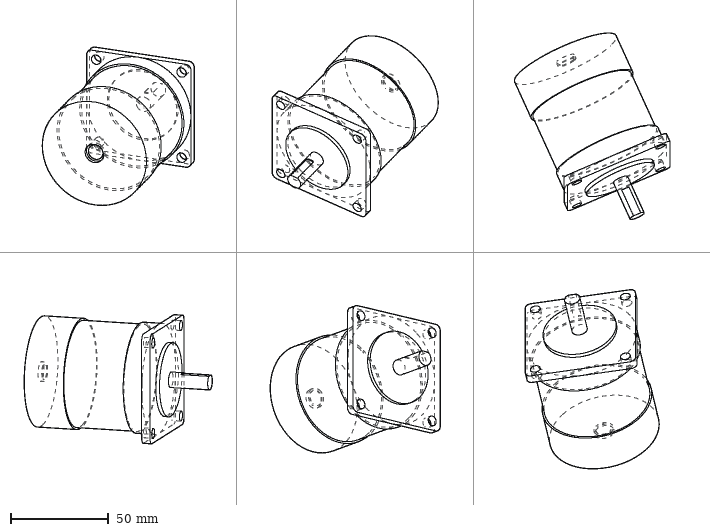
import cadquery as cq

rear_cap_length = 21.0
body_length = 32.0
front_cap_length = 10.0
cap_diameter = 57.0
body_diameter = 55.0

flange_width = 57.2
flange_height = 57.0
flange_thickness = 4.5
flange_corner_radius = 3.0
mount_hole_diameter = 5.1
mount_hole_spacing_x = 46.7
mount_hole_spacing_z = 47.15

pilot_diameter = 38.0
pilot_length = 2.0
overall_length = 90.5
shaft_diameter = 8.0
flat_length = 14.8
flat_depth = 0.5

recess_diameter = 10.05
recess_depth = 2.0
shaft_end_depth = 1.8

body_start = rear_cap_length
front_cap_start = body_start + body_length
flange_start = front_cap_start + front_cap_length
pilot_start = flange_start + flange_thickness
shaft_start = pilot_start + pilot_length


def section_plane(y):
    """Plane across the motor axis at y, facing +Y, with its local y axis along Z."""
    return cq.Workplane(cq.Plane(origin=(0, y, 0), xDir=(-1, 0, 0), normal=(0, 1, 0)))


def cylinder(start, end, diameter):
    return section_plane(start).circle(diameter / 2).extrude(end - start)


def make_flange():
    plate = section_plane(flange_start).rect(flange_width, flange_height).extrude(flange_thickness)
    plate = plate.edges("|Y").fillet(flange_corner_radius)
    holes = (
        section_plane(flange_start)
        .rect(mount_hole_spacing_x, mount_hole_spacing_z, forConstruction=True)
        .vertices()
        .circle(mount_hole_diameter / 2)
        .extrude(flange_thickness)
    )
    return plate.cut(holes)


def make_shaft():
    """Output shaft with a flat on its +Z side, reaching back from the tip."""
    shaft = cylinder(shaft_start, overall_length, shaft_diameter)
    flat_cut = cq.Workplane().box(shaft_diameter, flat_length, flat_depth, centered=(True, False, False))
    flat_position = (0, overall_length - flat_length, shaft_diameter / 2 - flat_depth)
    return shaft.cut(flat_cut.translate(flat_position))


def make_housing():
    rear_cap = cylinder(0, body_start, cap_diameter)
    body = cylinder(body_start, front_cap_start, body_diameter)
    front_cap = cylinder(front_cap_start, flange_start, cap_diameter)
    return rear_cap.union(body).union(front_cap)


recess = cylinder(0, recess_depth, recess_diameter)
shaft_rear_end = cylinder(shaft_end_depth, recess_depth, shaft_diameter)

result = (
    make_housing()
    .union(make_flange())
    .union(cylinder(pilot_start, shaft_start, pilot_diameter))
    .union(make_shaft())
    .cut(recess)
    .union(shaft_rear_end)
)